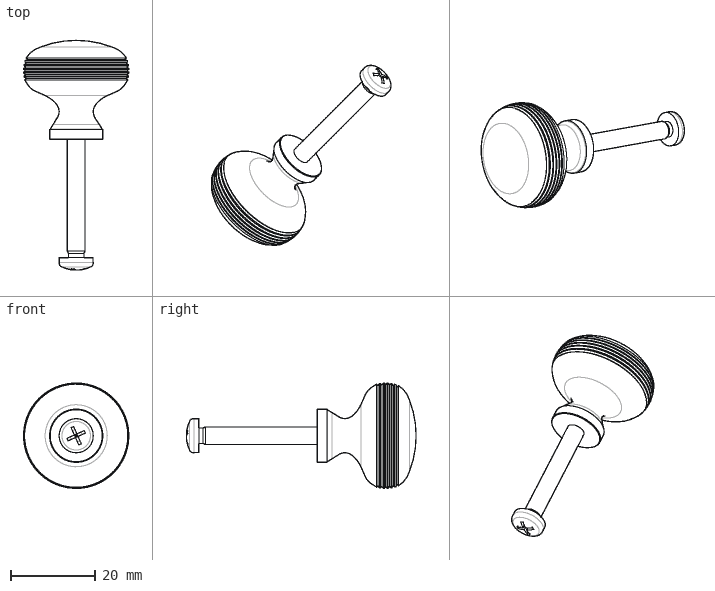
import cadquery as cq
import math


FLANGE_RADIUS = 6.35
FLANGE_HEIGHT = 2.5
FLANGE_CHAMFER = 0.15
WAIST_START_RADIUS = 5.5
WAIST_START_Y = 3.6
WAIST_RADIUS = 4.1
WAIST_Y = 6.4
WAIST_END_RADIUS = 7.35
WAIST_END_Y = 10.4
WAIST_START_SLOPE = (-0.6, 0.8)
WAIST_END_SLOPE = (0.9, 0.45)
BULB_END_SLOPE = (0.45, 0.9)

BULB_RADIUS = 10.3
BULB_Y = 11.8
KNOB_DIAMETER = 25.05
KNOB_RADIUS = KNOB_DIAMETER / 2
BAND_CENTER_Y = 16.3
BAND_CURVE_RADIUS = 7.85
BAND_START_Y = 14.2
GROOVE_COUNT = 6
BAND_HEIGHT = 5.2
GROOVE_WIDTH = 0.65
GROOVE_DEPTH = 0.45
GROOVE_PITCH = (BAND_HEIGHT - GROOVE_WIDTH) / (GROOVE_COUNT - 1)
DOME_EDGE_RADIUS = 8.45
DOME_EDGE_Y = 22.0
SHOULDER_RADIUS = 10.5
SHOULDER_Y = 20.95
KNOB_HEIGHT = 23.6

TOTAL_LENGTH = 54.55
SHANK_RADIUS = 2.15
SHANK_LENGTH = 26.45
NECK_RADIUS = 1.85
NECK_TAPER_LENGTH = 0.5
HEAD_RADIUS = 4.05
HEAD_SEAT_Y = -28.0
HEAD_RIM_HEIGHT = 1.15
HEAD_CROWN_RADIUS = 3.4
HEAD_CROWN_DEPTH = 0.75
HEAD_TIP_Y = KNOB_HEIGHT - TOTAL_LENGTH

RECESS_SPAN = 4.5
RECESS_FLOOR_SPAN = 2.85
RECESS_WIDTH = 0.65
RECESS_END_DEPTH = 0.35
RECESS_FLOOR_DEPTH = 1.05
RECESS_CENTER_DEPTH = 1.75
RECESS_ANGLE = 24.0


def band_radius(y):
    """Radius of the convex envelope that carries the groove crests."""
    offset = y - BAND_CENTER_Y
    return KNOB_RADIUS - BAND_CURVE_RADIUS + math.sqrt(BAND_CURVE_RADIUS**2 - offset**2)


def revolve_about_y(profile):
    return profile.close().revolve(360, (0, 0, 0), (0, 1, 0))


def dome_radius(edge_radius, depth):
    """Radius of a spherical cap from its edge radius and its depth."""
    return (edge_radius**2 + depth**2) / (2 * depth)


DOME_CURVE_RADIUS = dome_radius(DOME_EDGE_RADIUS, KNOB_HEIGHT - DOME_EDGE_Y)
HEAD_CURVE_RADIUS = dome_radius(HEAD_CROWN_RADIUS, HEAD_CROWN_DEPTH)


def make_knob():
    profile = (
        cq.Workplane("XY")
        .lineTo(FLANGE_RADIUS - FLANGE_CHAMFER, 0)
        .lineTo(FLANGE_RADIUS, FLANGE_CHAMFER)
        .lineTo(FLANGE_RADIUS, FLANGE_HEIGHT - FLANGE_CHAMFER)
        .lineTo(FLANGE_RADIUS - FLANGE_CHAMFER, FLANGE_HEIGHT)
        .lineTo(WAIST_START_RADIUS, WAIST_START_Y)
        .spline(
            [(WAIST_RADIUS, WAIST_Y), (WAIST_END_RADIUS, WAIST_END_Y)],
            tangents=[WAIST_START_SLOPE, WAIST_END_SLOPE],
            includeCurrent=True,
        )
        .spline(
            [(BULB_RADIUS, BULB_Y), (band_radius(BAND_START_Y), BAND_START_Y)],
            tangents=[WAIST_END_SLOPE, BULB_END_SLOPE],
            includeCurrent=True,
        )
    )
    for groove in range(GROOVE_COUNT):
        lower_y = BAND_START_Y + groove * GROOVE_PITCH
        root_y = lower_y + GROOVE_WIDTH / 2
        upper_y = lower_y + GROOVE_WIDTH
        if groove > 0:
            profile = profile.lineTo(band_radius(lower_y), lower_y)
        profile = profile.lineTo(band_radius(root_y) - GROOVE_DEPTH, root_y)
        profile = profile.lineTo(band_radius(upper_y), upper_y)
    profile = (
        profile
        .threePointArc((SHOULDER_RADIUS, SHOULDER_Y), (DOME_EDGE_RADIUS, DOME_EDGE_Y))
        .radiusArc((0, KNOB_HEIGHT), -DOME_CURVE_RADIUS)
    )
    return revolve_about_y(profile)


def make_recess_arm(angle):
    """Slot cutter with sloped ends and a floor that deepens towards the centre."""
    end_y = HEAD_TIP_Y + RECESS_END_DEPTH
    floor_y = HEAD_TIP_Y + RECESS_FLOOR_DEPTH
    arm = (
        cq.Workplane("XY")
        .polyline([
            (-RECESS_SPAN / 2, HEAD_TIP_Y),
            (RECESS_SPAN / 2, HEAD_TIP_Y),
            (RECESS_SPAN / 2, end_y),
            (RECESS_FLOOR_SPAN / 2, floor_y),
            (0, HEAD_TIP_Y + RECESS_CENTER_DEPTH),
            (-RECESS_FLOOR_SPAN / 2, floor_y),
            (-RECESS_SPAN / 2, end_y),
        ])
        .close()
        .extrude(RECESS_WIDTH / 2, both=True)
    )
    return arm.rotate((0, 0, 0), (0, 1, 0), -angle)


def make_screw():
    rim_y = HEAD_SEAT_Y - HEAD_RIM_HEIGHT
    crown_y = HEAD_TIP_Y + HEAD_CROWN_DEPTH
    corner = math.sqrt(0.5)
    corner_mid = (
        HEAD_CROWN_RADIUS + (HEAD_RADIUS - HEAD_CROWN_RADIUS) * corner,
        rim_y + (crown_y - rim_y) * corner,
    )
    profile = (
        cq.Workplane("XY")
        .lineTo(SHANK_RADIUS, 0)
        .lineTo(SHANK_RADIUS, -SHANK_LENGTH)
        .lineTo(NECK_RADIUS, -SHANK_LENGTH - NECK_TAPER_LENGTH)
        .lineTo(NECK_RADIUS, HEAD_SEAT_Y)
        .lineTo(HEAD_RADIUS, HEAD_SEAT_Y)
        .lineTo(HEAD_RADIUS, rim_y)
        .threePointArc(corner_mid, (HEAD_CROWN_RADIUS, crown_y))
        .radiusArc((0, HEAD_TIP_Y), HEAD_CURVE_RADIUS)
    )
    screw = revolve_about_y(profile)
    for angle in (RECESS_ANGLE, RECESS_ANGLE + 90):
        screw = screw.cut(make_recess_arm(angle))
    return screw


knob = make_knob()
screw = make_screw()
result = cq.Compound.makeCompound([knob.val(), screw.val()])